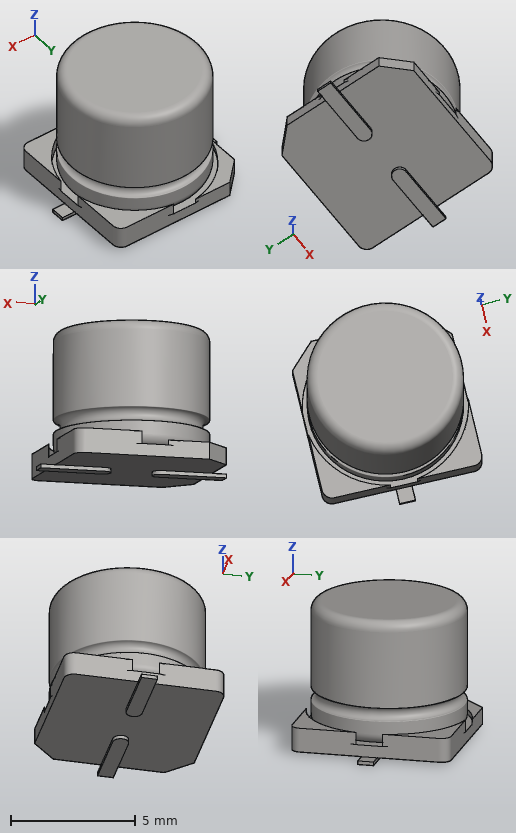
import cadquery as cq

overall_length = 7.8
overall_height = 5.8

lead_thickness = 0.155
lead_width = 0.655
lead_gap = 1.76

base_width = 6.6
corner_chamfer = 1.01
corner_radius = 0.405
low_top = 0.85
high_top = 1.16
pocket_floor = 0.65
pocket_radius = 3.35

can_radius = 6.3 / 2
can_edge_radius = 0.42
groove_center = 1.91
groove_radius = 0.27
groove_lip_radius = 0.03


def make_base():
    """Plate with two chamfered and two rounded corners, raised along its +X half."""
    plate = (
        cq.Workplane("XY")
        .workplane(offset=lead_thickness)
        .rect(base_width, base_width)
        .extrude(high_top - lead_thickness)
        .edges("|Z and <X")
        .chamfer(corner_chamfer)
        .edges("|Z and >X")
        .fillet(corner_radius)
    )
    low_half = (
        cq.Workplane("XY")
        .workplane(offset=low_top)
        .rect(base_width, base_width)
        .extrude(high_top - low_top)
        .translate((-base_width / 2, 0, 0))
    )
    pocket = (
        cq.Workplane("XY")
        .workplane(offset=pocket_floor)
        .circle(pocket_radius)
        .extrude(high_top - pocket_floor)
    )
    return plate.cut(low_half).cut(pocket)


def make_can():
    """Round can with rounded rims and a crimped groove near its foot."""
    can = (
        cq.Workplane("XY")
        .workplane(offset=pocket_floor)
        .circle(can_radius)
        .extrude(overall_height - pocket_floor)
        .edges()
        .fillet(can_edge_radius)
    )
    groove = cq.Workplane(
        cq.Solid.makeTorus(can_radius, groove_radius, cq.Vector(0, 0, groove_center))
    )
    lip_zone = cq.selectors.BoxSelector(
        (-can_radius, -can_radius, groove_center - 2 * groove_radius),
        (can_radius, can_radius, groove_center + 2 * groove_radius),
    )
    circles = cq.selectors.TypeSelector("CIRCLE")
    lips = cq.selectors.RadiusNthSelector(-1)
    return can.cut(groove).edges(lip_zone).edges(circles).edges(lips).fillet(groove_lip_radius)


def make_lead(side):
    """Flat lead with a full round inner end; side is -1 or +1 along X."""
    half_width = lead_width / 2
    outer_end = side * overall_length / 2
    inner_end = side * lead_gap / 2
    round_start = inner_end + side * half_width
    return (
        cq.Workplane("XY")
        .moveTo(outer_end, -half_width)
        .lineTo(round_start, -half_width)
        .threePointArc((inner_end, 0), (round_start, half_width))
        .lineTo(outer_end, half_width)
        .close()
        .extrude(lead_thickness)
    )


result = make_base().union(make_can())
for side in (-1, 1):
    result = result.union(make_lead(side))